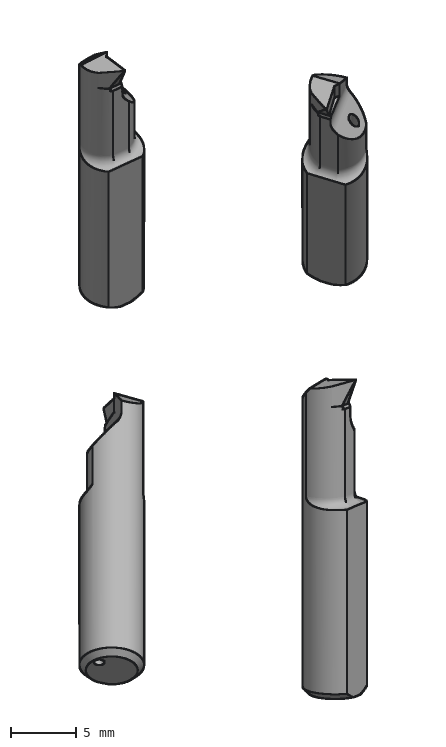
import cadquery as cq
import math

LENGTH = 25.0
CLEARANCE = 15.0

SHANK_RADIUS = 2.5
SHANK_FLAT_X = 1.95
SHANK_TOP_Z = 15.05
END_CHAMFER = 0.5

NECK_CENTER_X = -0.75
NECK_RADIUS = 2.18
NECK_FLAT_X = 1.3
NECK_FILLET = 0.75

FACE_Y = 0.112
RAMP_LOW_Z = 19.12
RAMP_ANGLE = 50.0
RAMP_FILLET = 1.5
HOLE_DIAMETER = 0.8
HOLE_Y = 1.3

TIP_X = 1.88
TOP_RISE_X = 0.1
TOP_RISE_Y = 0.14
BEVEL_LOW_Z = 23.08
BEVEL_RISE_Y = 0.07
TOOTH_BOTTOM_Z = 23.02
TOOTH_BOTTOM_X = 1.18
RELIEF_LOW_Z = 22.75
TOOTH_FACET_X = 0.68
TOOTH_SIDE_X = 1.65
TOOTH_SIDE_Y = -0.38
RECESS_START_X = -0.82
RECESS_DEEP_X = -0.48
RECESS_DEEP_Y = -0.2


def make_shank():
    shank = cq.Workplane("XY").circle(SHANK_RADIUS).extrude(SHANK_TOP_Z)
    return shank.faces("<Z").chamfer(END_CHAMFER)


def flared_profile(side_offset):
    """XZ half-section with a vertical side and a quarter-round at its foot."""
    fillet_top_z = SHANK_TOP_Z + NECK_FILLET
    arc_inset = NECK_FILLET * (1 - math.sqrt(0.5))
    return (
        cq.Workplane("XZ")
        .moveTo(0, SHANK_TOP_Z)
        .lineTo(side_offset + NECK_FILLET, SHANK_TOP_Z)
        .threePointArc(
            (side_offset + arc_inset, SHANK_TOP_Z + arc_inset),
            (side_offset, fillet_top_z),
        )
        .lineTo(side_offset, LENGTH)
        .lineTo(0, LENGTH)
        .close()
    )


def make_neck():
    flat_offset = NECK_FLAT_X - NECK_CENTER_X
    round_neck = flared_profile(NECK_RADIUS).revolve(360, (0, 0), (0, 1))
    flat_side = flared_profile(flat_offset).extrude(CLEARANCE, both=True)
    back_side = cq.Workplane("XY").box(
        CLEARANCE, CLEARANCE, LENGTH, centered=(False, True, False)
    ).translate((-CLEARANCE, 0, 0))
    return round_neck.intersect(flat_side.union(back_side)).translate((NECK_CENTER_X, 0, 0))


def facet_start_y():
    """Y of the front neck surface where the tooth facet begins."""
    return -math.sqrt(NECK_RADIUS**2 - (TOOTH_FACET_X - NECK_CENTER_X) ** 2)


def make_tooth():
    facet_y = facet_start_y()
    outline = [
        (NECK_CENTER_X, FACE_Y),
        (TIP_X, FACE_Y),
        (TIP_X, 0),
        (TOOTH_SIDE_X, TOOTH_SIDE_Y),
        (TOOTH_FACET_X, facet_y),
        (NECK_CENTER_X, facet_y),
    ]
    tooth = cq.Workplane("XY").workplane(offset=RELIEF_LOW_Z).polyline(outline).close()
    return tooth.extrude(LENGTH - RELIEF_LOW_Z)


def facet_cut():
    """Trim the neck back to the flat front facet of the tooth."""
    outline = [
        (TOOTH_FACET_X, facet_start_y()),
        (TOOTH_SIDE_X, TOOTH_SIDE_Y),
        (CLEARANCE, TOOTH_SIDE_Y),
        (CLEARANCE, -CLEARANCE),
        (TOOTH_FACET_X, -CLEARANCE),
    ]
    cut = cq.Workplane("XY").workplane(offset=TOOTH_BOTTOM_Z).polyline(outline).close()
    return cut.extrude(LENGTH - TOOTH_BOTTOM_Z)


def tooth_relief():
    """Undercut below the tip on the +X side."""
    outline = [
        (NECK_FLAT_X, RELIEF_LOW_Z),
        (TOOTH_BOTTOM_X, TOOTH_BOTTOM_Z),
        (TIP_X, LENGTH),
        (CLEARANCE, LENGTH),
        (CLEARANCE, RELIEF_LOW_Z),
    ]
    return cq.Workplane("XZ").polyline(outline).close().extrude(CLEARANCE, both=True)


def chip_space():
    """Space in front of the cutting face, with a filleted ramp at its foot."""
    slope = math.radians(RAMP_ANGLE)
    ramp_side_y = NECK_RADIUS
    corner_z = RAMP_LOW_Z + (ramp_side_y - FACE_Y) * math.tan(slope)
    outside_y = CLEARANCE
    outside_z = corner_z - (outside_y - FACE_Y) * math.tan(slope)
    outline = [
        (FACE_Y, LENGTH),
        (FACE_Y, corner_z),
        (outside_y, outside_z),
        (outside_y, LENGTH),
    ]
    space = cq.Workplane("YZ").polyline(outline).close().extrude(CLEARANCE, both=True)
    inner_edge = cq.selectors.NearestToPointSelector((0, FACE_Y, corner_z))
    return space.edges("|X").edges(inner_edge).fillet(RAMP_FILLET)


def top_face_cut():
    """Everything above the sloping top face, which peaks at the tip."""
    plane = cq.Plane(
        origin=(TIP_X, 0, LENGTH), xDir=(1, 0, TOP_RISE_X), normal=(-TOP_RISE_X, -TOP_RISE_Y, 1)
    )
    return cq.Workplane(plane).rect(CLEARANCE, CLEARANCE).extrude(CLEARANCE)


def back_bevel_cut():
    plane = cq.Plane(
        origin=(-SHANK_RADIUS, 0, BEVEL_LOW_Z), xDir=(1, 0, 1), normal=(-1, -BEVEL_RISE_Y, 1)
    )
    return cq.Workplane(plane).rect(CLEARANCE, CLEARANCE).extrude(CLEARANCE)


def rake_recess():
    """Shallow wedge sunk into the cutting face behind the tip edge."""
    outline = [
        (RECESS_START_X, FACE_Y),
        (RECESS_DEEP_X, RECESS_DEEP_Y),
        (TIP_X, 0),
        (TIP_X, FACE_Y),
    ]
    recess = cq.Workplane("XY").workplane(offset=TOOTH_BOTTOM_Z).polyline(outline).close()
    return recess.extrude(LENGTH - TOOTH_BOTTOM_Z)


def envelope():
    """Shank round and flat carried up the full length."""
    bar = cq.Workplane("XY").circle(SHANK_RADIUS).extrude(LENGTH)
    limit = cq.Workplane("XY").box(CLEARANCE, CLEARANCE, LENGTH, centered=(False, True, False))
    return bar.intersect(limit.translate((SHANK_FLAT_X - CLEARANCE, 0, 0)))


def coolant_hole():
    return cq.Workplane("XY").center(NECK_CENTER_X, HOLE_Y).circle(HOLE_DIAMETER / 2).extrude(LENGTH)


result = make_shank().union(make_neck().union(make_tooth())).intersect(envelope())
for cutter in (
    facet_cut(),
    tooth_relief(),
    chip_space(),
    top_face_cut(),
    back_bevel_cut(),
    rake_recess(),
    coolant_hole(),
):
    result = result.cut(cutter)